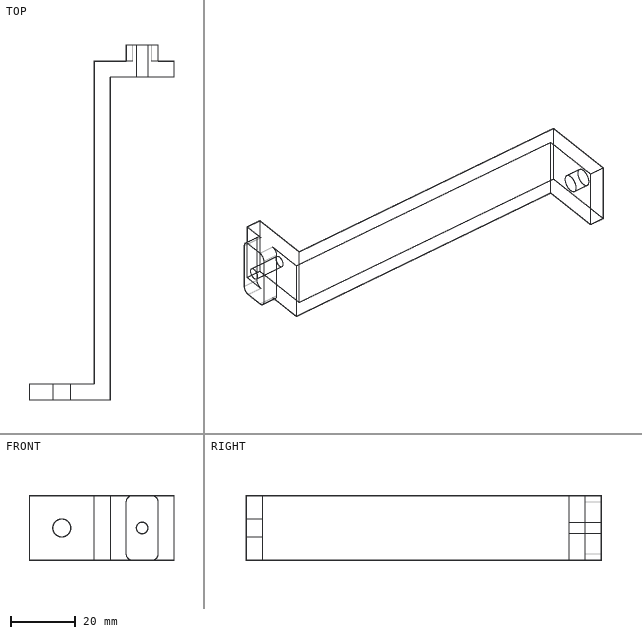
import cadquery as cq

length = 110.0
width = 44.8
height = 20.0
thickness = height / 4
front_foot_reach = height
key_width = 9.9
key_depth = thickness
key_corner_radius = 2.0
front_hole_diameter = 5.5
rear_hole_diameter = 3.5

left = -width / 2
right = width / 2
front = -length / 2
back = length / 2 - key_depth
web_left = left + front_foot_reach
web_right = web_left + thickness
front_hole_x = left + front_foot_reach / 2
rear_hole_x = (web_right + right) / 2


def z_bracket():
    """Web along Y with a foot toward -X in front and +X at the back."""
    outline = [
        (left, front),
        (web_right, front),
        (web_right, back - thickness),
        (right, back - thickness),
        (right, back),
        (web_left, back),
        (web_left, front + thickness),
        (left, front + thickness),
    ]
    return cq.Workplane("XY").polyline(outline).close().extrude(height / 2, both=True)


def locating_key():
    """Full-height key with rounded corners on the back of the rear foot."""
    key = cq.Workplane("XY").box(key_width, key_depth, height)
    key = key.edges("|Y").fillet(key_corner_radius)
    return key.translate((rear_hole_x, back + key_depth / 2, 0))


def hole_along_y(x, diameter):
    """Cutter for a hole at mid-height, running the whole length of the part."""
    cutter = cq.Workplane("XZ").center(x, 0).circle(diameter / 2)
    return cutter.extrude(length / 2, both=True)


result = (
    z_bracket()
    .union(locating_key())
    .cut(hole_along_y(front_hole_x, front_hole_diameter))
    .cut(hole_along_y(rear_hole_x, rear_hole_diameter))
)